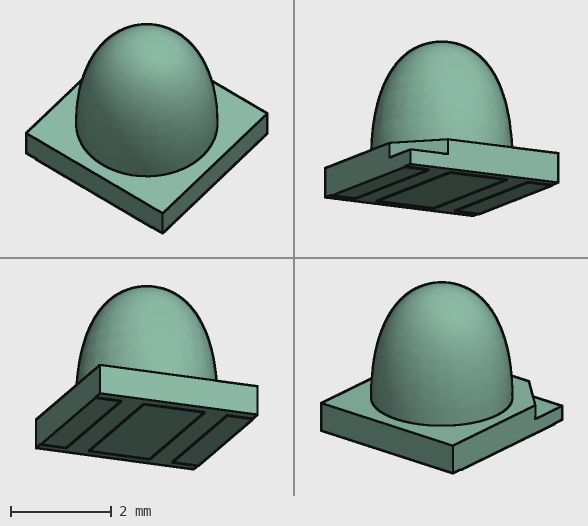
import cadquery as cq

BASE_X = 3.45
BASE_Y = 3.37
BASE_HEIGHT = 0.6

CORNER_LEG = 0.852
CORNER_DEPTH = 0.3

PAD_LENGTH = 2.95
PAD_THICKNESS = 0.015
OUTER_PAD_WIDTH = 0.552
CENTER_PAD_WIDTH = 1.3

LENS_RADIUS = 1.408
LENS_HEIGHT = 2.395
RIM_HANDLE = 1.573
TIP_HANDLE = 0.845


def make_pad(width, center_y):
    return (
        cq.Workplane("XY", origin=(0, center_y, -PAD_THICKNESS))
        .rect(PAD_LENGTH, width)
        .extrude(PAD_THICKNESS)
    )


def make_base():
    base = cq.Workplane("XY").rect(BASE_X, BASE_Y).extrude(BASE_HEIGHT)

    left = -BASE_X / 2
    back = BASE_Y / 2
    corner_step = (
        cq.Workplane("XY", origin=(0, 0, BASE_HEIGHT - CORNER_DEPTH))
        .moveTo(left, back)
        .lineTo(left + CORNER_LEG, back)
        .lineTo(left, back - CORNER_LEG)
        .close()
        .extrude(CORNER_DEPTH)
    )
    base = base.cut(corner_step)

    outer_pad_y = (BASE_Y - OUTER_PAD_WIDTH) / 2
    base = base.union(make_pad(CENTER_PAD_WIDTH, 0))
    for side in (-1, 1):
        base = base.union(make_pad(OUTER_PAD_WIDTH, side * outer_pad_y))
    return base


def make_lens():
    return (
        cq.Workplane("XZ", origin=(0, 0, BASE_HEIGHT))
        .lineTo(LENS_RADIUS, 0)
        .bezier(
            [
                (LENS_RADIUS, 0),
                (LENS_RADIUS, RIM_HANDLE),
                (TIP_HANDLE, LENS_HEIGHT),
                (0, LENS_HEIGHT),
            ]
        )
        .close()
        .revolve(360, (0, 0), (0, 1))
    )


base = make_base()
lens = make_lens()
result = cq.Compound.makeCompound([base.val(), lens.val()])